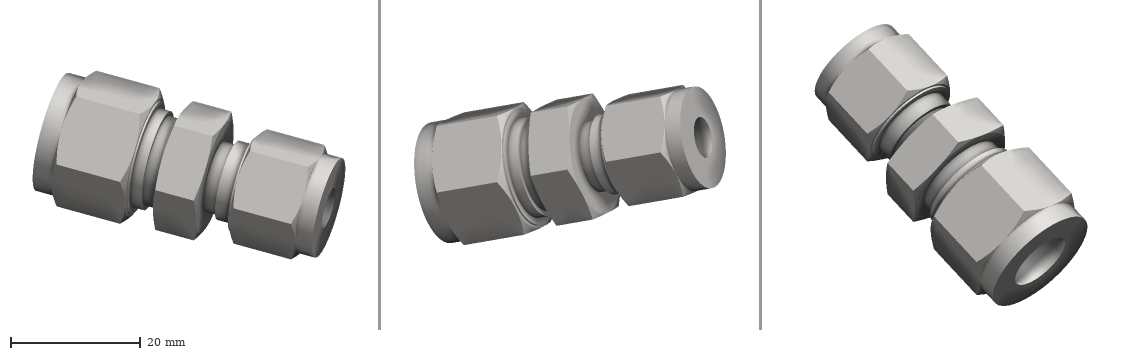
import cadquery as cq
import math

LENGTH = 45.1
LARGE_NUT_START = 3.05
LARGE_NUT_END = 15.1
LARGE_LIP_END = 15.4
LARGE_RING_END = 17.15
BODY_HEX_START = 19.5
BODY_HEX_END = 26.5
SMALL_RING_START = 28.7
SMALL_LIP_START = 31.25
SMALL_NUT_START = 31.55
SMALL_NUT_END = 42.4

LARGE_NUT_FLATS = 19.0
BODY_HEX_FLATS = 18.05
SMALL_NUT_FLATS = 16.0

LARGE_COLLAR_DIAMETER = 18.95
LARGE_LIP_DIAMETER = 18.05
LARGE_RING_DIAMETER = 15.88
LARGE_NECK_DIAMETER = 14.35
SMALL_NECK_DIAMETER = 11.28
SMALL_RING_DIAMETER = 12.7
SMALL_LIP_DIAMETER = 15.25
SMALL_COLLAR_DIAMETER = 15.95

BORE_DIAMETER = 6.4
SOCKET_DIAMETER = 10.0
SOCKET_DEPTH = LARGE_RING_END

NUT_CHAMFER_ANGLE = 30.0
BODY_CHAMFER_ANGLE = 15.0


def cylinder(start, end, diameter):
    """Round section about the X axis between two stations."""
    return cq.Workplane("YZ", origin=(start, 0, 0)).circle(diameter / 2).extrude(end - start)


def hexagon(start, end, flats, chamfer_angle):
    """Hexagon with corners on +Z and -Z, its corners turned down by a cone at each end."""
    inner_radius = flats / 2
    corner_radius = inner_radius / math.cos(math.pi / 6)
    chamfer_length = (corner_radius - inner_radius) * math.tan(math.radians(chamfer_angle))
    prism = (
        cq.Workplane("YZ", origin=(start, 0, 0))
        .polygon(6, 2 * corner_radius)
        .extrude(end - start)
        .rotate((0, 0, 0), (1, 0, 0), 90)
    )
    turned_blank = (
        cq.Workplane("XZ")
        .moveTo(start, 0)
        .lineTo(start, inner_radius)
        .lineTo(start + chamfer_length, corner_radius)
        .lineTo(end - chamfer_length, corner_radius)
        .lineTo(end, inner_radius)
        .lineTo(end, 0)
        .close()
        .revolve(360, (0, 0, 0), (1, 0, 0))
    )
    return prism.intersect(turned_blank)


sections = [
    cylinder(0, LARGE_NUT_START, LARGE_COLLAR_DIAMETER),
    hexagon(LARGE_NUT_START, LARGE_NUT_END, LARGE_NUT_FLATS, NUT_CHAMFER_ANGLE),
    cylinder(LARGE_NUT_END, LARGE_LIP_END, LARGE_LIP_DIAMETER),
    cylinder(LARGE_LIP_END, LARGE_RING_END, LARGE_RING_DIAMETER),
    cylinder(LARGE_RING_END, BODY_HEX_START, LARGE_NECK_DIAMETER),
    hexagon(BODY_HEX_START, BODY_HEX_END, BODY_HEX_FLATS, BODY_CHAMFER_ANGLE),
    cylinder(BODY_HEX_END, SMALL_RING_START, SMALL_NECK_DIAMETER),
    cylinder(SMALL_RING_START, SMALL_LIP_START, SMALL_RING_DIAMETER),
    cylinder(SMALL_LIP_START, SMALL_NUT_START, SMALL_LIP_DIAMETER),
    hexagon(SMALL_NUT_START, SMALL_NUT_END, SMALL_NUT_FLATS, NUT_CHAMFER_ANGLE),
    cylinder(SMALL_NUT_END, LENGTH, SMALL_COLLAR_DIAMETER),
]
fitting = sections[0]
for section in sections[1:]:
    fitting = fitting.union(section)

bore = cylinder(0, LENGTH, BORE_DIAMETER)
socket = cylinder(0, SOCKET_DEPTH, SOCKET_DIAMETER)

result = fitting.cut(bore).cut(socket)